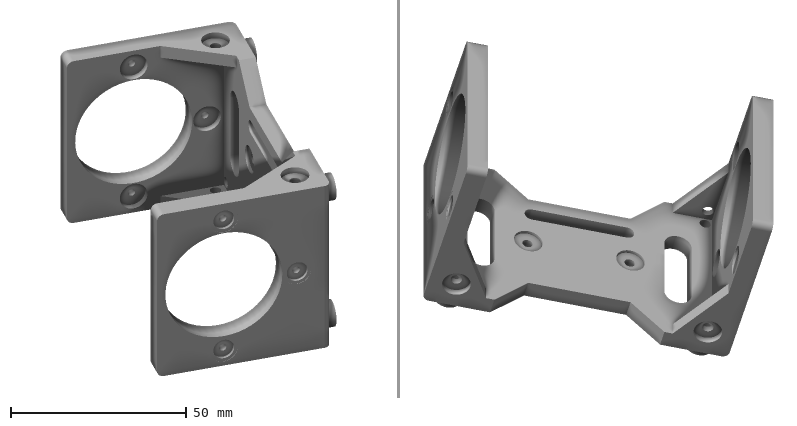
import cadquery as cq

SIDES = (-1, 1)

width = 90.0
height = 55.0
body_depth = 52.0
plate_thickness = 5.0
leg_thickness = 6.0
corner_radius = 2.0
half_width = width / 2
half_height = height / 2
leg_inner_x = half_width - leg_thickness

waist_outer_half_length = 25.0
waist_inner_half_length = 15.0
waist_half_height = 17.6

gusset_thickness = 4.0
gusset_width = 11.5
gusset_depth = 19.0

side_slot_x = 29.0
side_slot_length = 28.0
side_slot_width = 8.0
long_slot_z = 11.5
long_slot_length = 32.2
long_slot_width = 4.2

screw_hole_diameter = 3.2
screw_head_diameter = 8.2
screw_head_depth = 2.0
corner_screw_x = 37.0
corner_screw_z = 21.5
gusset_screw_y = -8.2
boss_diameter = 8.0
boss_length = 3.0

centre_hole_x = waist_inner_half_length
centre_hole_diameter = 3.0
centre_recess_diameter = 8.4
centre_recess_depth = 1.0

opening_y = -32.0
opening_diameter = 35.0
leg_screw_radius = 22.0
leg_hole_diameter = 2.2
leg_inner_bore_diameter = 8.3
leg_inner_bore_depth = 2.0
leg_outer_rim_diameter = 8.3
leg_outer_rim_depth = 0.1
leg_outer_bore_diameter = 6.2
leg_outer_bore_depth = 1.0


def cylinder(start, direction, diameter, length):
    """Solid cylinder from a start point along a direction."""
    return cq.Workplane(
        cq.Solid.makeCylinder(diameter / 2, length, cq.Vector(*start), cq.Vector(*direction))
    )


def make_frame():
    """Plate with a leg at each end, rounded at the back edges and the free leg corners."""
    outer = cq.Workplane("XY").box(width, body_depth, height).translate((0, -body_depth / 2, 0))
    outer = outer.edges("|Z and >Y").fillet(corner_radius)
    outer = outer.edges("|X and <Y").fillet(corner_radius)
    inside = (
        cq.Workplane("XY")
        .box(2 * leg_inner_x, body_depth, height)
        .translate((0, -plate_thickness - body_depth / 2, 0))
    )
    return outer.cut(inside)


def make_gusset(side_x, side_z):
    """Triangular web flush with the top or bottom edge of the bracket."""
    return (
        cq.Workplane("XY")
        .workplane(offset=side_z * half_height)
        .moveTo(side_x * leg_inner_x, -plate_thickness)
        .lineTo(side_x * (leg_inner_x - gusset_width), -plate_thickness)
        .lineTo(side_x * leg_inner_x, -plate_thickness - gusset_depth)
        .close()
        .extrude(-side_z * gusset_thickness)
    )


def make_waist_cut(side_z):
    """Trapezoid that narrows the middle of the plate."""
    return (
        cq.Workplane("XZ")
        .moveTo(-waist_outer_half_length, side_z * half_height)
        .lineTo(-waist_inner_half_length, side_z * waist_half_height)
        .lineTo(waist_inner_half_length, side_z * waist_half_height)
        .lineTo(waist_outer_half_length, side_z * half_height)
        .close()
        .extrude(plate_thickness)
    )


def make_plate_slots():
    """Upright slot near each leg and one long slot above the centre."""
    side_slots = (
        cq.Workplane("XZ")
        .pushPoints([(side * side_slot_x, 0) for side in SIDES])
        .slot2D(side_slot_length, side_slot_width, 90)
        .extrude(plate_thickness)
    )
    long_slot = (
        cq.Workplane("XZ")
        .center(0, long_slot_z)
        .slot2D(long_slot_length, long_slot_width)
        .extrude(plate_thickness)
    )
    return side_slots.union(long_slot)


def make_centre_hole(side_x):
    """Through hole with a shallow recess on the inner face of the plate."""
    x = side_x * centre_hole_x
    hole = cylinder((x, 0, 0), (0, -1, 0), centre_hole_diameter, plate_thickness)
    recess = cylinder((x, -plate_thickness, 0), (0, 1, 0), centre_recess_diameter, centre_recess_depth)
    return hole.union(recess)


def make_gusset_hole(side_x, side_z):
    """Vertical counterbored screw hole through a gusset."""
    start = (side_x * corner_screw_x, gusset_screw_y, side_z * half_height)
    inward = (0, 0, -side_z)
    hole = cylinder(start, inward, screw_hole_diameter, gusset_thickness)
    return hole.union(cylinder(start, inward, screw_head_diameter, screw_head_depth))


def make_leg_cuts(side_x):
    """Round opening and the stepped screw holes above, below and behind it."""
    outer_x = side_x * half_width
    inner_x = side_x * leg_inner_x
    inward = (-side_x, 0, 0)
    outward = (side_x, 0, 0)
    cuts = cylinder((outer_x, opening_y, 0), inward, opening_diameter, leg_thickness)
    for step_y, step_z in ((0, 1), (0, -1), (1, 0)):
        y = opening_y + step_y * leg_screw_radius
        z = step_z * leg_screw_radius
        outer = (outer_x, y, z)
        inner = (inner_x, y, z)
        cuts = cuts.union(cylinder(outer, inward, leg_hole_diameter, leg_thickness))
        cuts = cuts.union(cylinder(outer, inward, leg_outer_rim_diameter, leg_outer_rim_depth))
        cuts = cuts.union(cylinder(outer, inward, leg_outer_bore_diameter, leg_outer_bore_depth))
        cuts = cuts.union(cylinder(inner, outward, leg_inner_bore_diameter, leg_inner_bore_depth))
    return cuts


result = make_frame().cut(make_plate_slots())

for side_z in SIDES:
    result = result.cut(make_waist_cut(side_z))

for side_x in SIDES:
    result = result.cut(make_centre_hole(side_x))
    result = result.cut(make_leg_cuts(side_x))
    for side_z in SIDES:
        result = result.union(make_gusset(side_x, side_z))
        result = result.cut(make_gusset_hole(side_x, side_z))
        boss_base = (side_x * corner_screw_x, 0, side_z * corner_screw_z)
        boss_end = (side_x * corner_screw_x, boss_length, side_z * corner_screw_z)
        result = result.union(cylinder(boss_base, (0, 1, 0), boss_diameter, boss_length))
        result = result.cut(
            cylinder(boss_end, (0, -1, 0), screw_hole_diameter, boss_length + plate_thickness)
        )